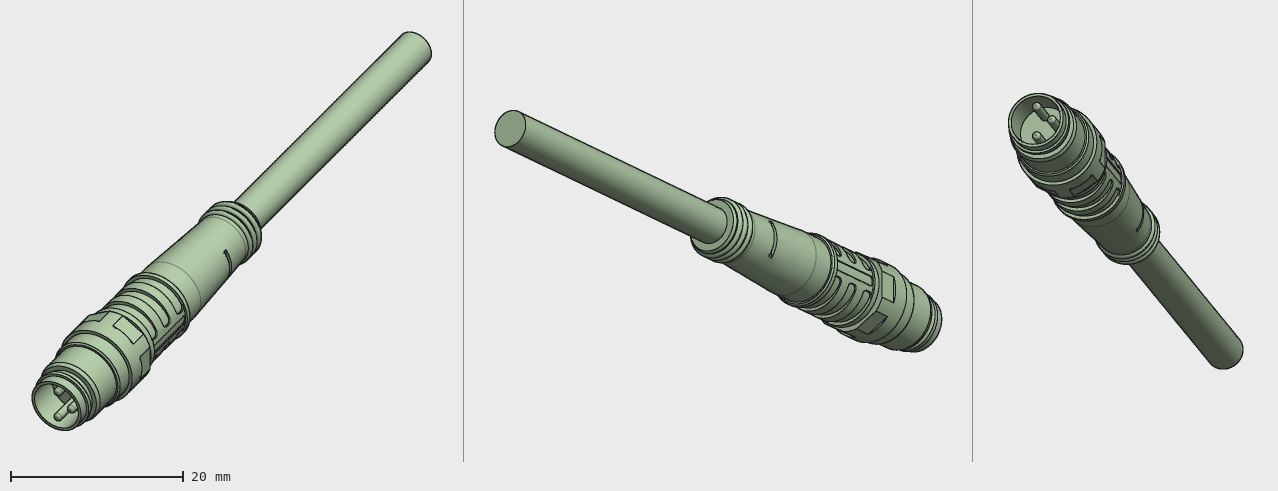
import cadquery as cq
import math


total_length = 81.4
cable_dia = 4.4

sleeve_dia = 6.6
snap_ring_dia = 7.2
snap_ring_start = 1.25
snap_ring_end = 1.75
groove_dia = 6.5
groove_start = 2.0

nut_start = 2.65
nut_nose_dia = 7.6
nut_chamfer_end = 3.2
nut_front_dia = 8.0
nut_middle_start = 6.85
nut_middle_dia = 8.8
shoulder_dia = 8.4
shoulder_chamfer_length = 0.2
nut_collar_start = 9.1
nut_collar_dia = 9.6
flats_start = 11.3
nut_end = 13.6
flat_width = 3.2
flat_count = 6

neck_dia = 6.5
grip_start = 14.05

grip_dia = 8.8
grip_end = 22.9
flank_width = 8.3
body_dia = 8.0
grip_groove_width = 1.55
grip_groove_pitch = 2.95
first_grip_groove = 14.85
grip_groove_count = 3
grip_groove_span = (grip_groove_count - 1) * grip_groove_pitch + grip_groove_width
grip_groove_half_gap = 1.3
grip_groove_corner = 0.6
side_slot_width = 1.2
side_slot_corner = 0.5

taper_start = 26.0
taper_end = 37.3
taper_end_dia = 6.7
relief_end = 41.25
relief_dia = 6.6
relief_end_dia = 6.2
bead_dia = 7.3
bead_pitch = 0.98
bead_width = 0.8
first_bead = 37.9
bead_count = 3

slit_start = 33.25
slit_width = 0.5
slit_half_height = 2.4
slit_floor_x = 2.8
slit_depth = 1.5

socket_dia = 5.9
socket_depth = 4.0
pin_dia = 1.0
pin_tip_radius = 0.4
pin_circle_radius = 1.8
pin_angles = (0, 90, 270)


def cylinder(diameter, start, end):
    """Cylinder about the Y axis between two stations."""
    plane = cq.Plane(origin=(0, start, 0), xDir=(1, 0, 0), normal=(0, 1, 0))
    return cq.Workplane(plane).circle(diameter / 2).extrude(end - start)


def make_shell():
    """Turned profile of the whole connector and cable."""
    beads_end = first_bead + bead_count * bead_pitch
    steps = [
        (0, sleeve_dia),
        (snap_ring_start, sleeve_dia),
        (snap_ring_start, snap_ring_dia),
        (snap_ring_end, snap_ring_dia),
        (groove_start, groove_dia),
        (nut_start, groove_dia),
        (nut_start, nut_nose_dia),
        (nut_chamfer_end, nut_front_dia),
        (nut_middle_start, nut_front_dia),
        (nut_middle_start, shoulder_dia),
        (nut_middle_start + shoulder_chamfer_length, nut_middle_dia),
        (nut_collar_start, nut_middle_dia),
        (nut_collar_start, nut_collar_dia),
        (nut_end, nut_collar_dia),
        (nut_end, neck_dia),
        (grip_start, neck_dia),
        (grip_start, grip_dia),
        (grip_end, grip_dia),
        (grip_end + shoulder_chamfer_length, shoulder_dia),
        (grip_end + shoulder_chamfer_length, body_dia),
        (taper_start, body_dia),
        (taper_end, taper_end_dia),
        (beads_end, relief_dia),
        (relief_end, relief_end_dia),
        (relief_end, cable_dia),
        (total_length, cable_dia),
    ]
    outline = [(diameter / 2, y) for y, diameter in steps]
    profile = cq.Workplane("XY").polyline([(0, 0)] + outline + [(0, total_length)]).close()
    return profile.revolve(360, (0, 0, 0), (0, 1, 0))


def add_relief_beads(body):
    """Rounded beads around the cable end of the overmould."""
    root = relief_dia / 2
    for index in range(bead_count):
        start = first_bead + index * bead_pitch
        end = start + bead_width
        bead = (
            cq.Workplane("XY")
            .moveTo(cable_dia / 2, start)
            .lineTo(root, start)
            .threePointArc((bead_dia / 2, (start + end) / 2), (root, end))
            .lineTo(cable_dia / 2, end)
            .close()
            .revolve(360, (0, 0, 0), (0, 1, 0))
        )
        body = body.union(bead)
    return body


def cut_nut_flats(body):
    """Flats spaced evenly around the rear half of the nut collar."""
    nut_radius = nut_collar_dia / 2
    apothem = math.sqrt(nut_radius**2 - (flat_width / 2) ** 2)
    cutter = (
        cq.Workplane("XY")
        .box(nut_radius, nut_end - flats_start, nut_collar_dia, centered=(False, False, True))
        .translate((apothem, flats_start, 0))
    )
    for index in range(flat_count):
        body = body.cut(cutter.rotate((0, 0, 0), (0, 1, 0), index * 360 / flat_count))
    return body


def flank_block(start, length, bottom, height, corner):
    """Block through the part along X with its X-parallel edges rounded."""
    block = cq.Workplane("XY").box(nut_collar_dia, length, height, centered=(True, False, False))
    return block.edges("|X").fillet(corner).translate((0, start, bottom))


def slim_grip(body):
    """Narrow the grip between its end rings to an ellipse, keeping the full height."""
    end = first_grip_groove + grip_groove_span
    plane = cq.Plane(origin=(0, first_grip_groove, 0), xDir=(1, 0, 0), normal=(0, 1, 0))
    core = cq.Workplane(plane).ellipse(flank_width / 2, grip_dia / 2).extrude(grip_groove_span)
    return body.cut(cylinder(nut_collar_dia, first_grip_groove, end).cut(core))


def cut_grip(body):
    """U-ended grooves over the top and bottom, and one long slot on each flank."""
    pattern = flank_block(
        first_grip_groove, grip_groove_span, -side_slot_width / 2, side_slot_width, side_slot_corner
    )
    for index in range(grip_groove_count):
        start = first_grip_groove + index * grip_groove_pitch
        for bottom in (grip_groove_half_gap, -grip_groove_half_gap - nut_collar_dia):
            pattern = pattern.union(
                flank_block(start, grip_groove_width, bottom, nut_collar_dia, grip_groove_corner)
            )
    return body.cut(pattern.cut(cylinder(body_dia, grip_start, grip_end)))


def cut_slits(body):
    """Narrow flat-floored slit across each flank of the taper."""
    slit = cq.Workplane("XY").box(
        slit_depth, slit_width, 2 * slit_half_height, centered=(True, False, True)
    )
    for side in (-1, 1):
        body = body.cut(slit.translate((side * (slit_floor_x + slit_depth / 2), slit_start, 0)))
    return body


def make_contacts(body):
    """Blind socket with round-tipped pins standing on its floor."""
    body = body.cut(cylinder(socket_dia, 0, socket_depth))
    pin = cylinder(pin_dia, 0, socket_depth).faces("<Y").edges().fillet(pin_tip_radius)
    pin = pin.translate((pin_circle_radius, 0, 0))
    for angle in pin_angles:
        body = body.union(pin.rotate((0, 0, 0), (0, 1, 0), angle))
    return body


result = make_shell()
result = add_relief_beads(result)
result = cut_nut_flats(result)
result = slim_grip(result)
result = cut_grip(result)
result = cut_slits(result)
result = make_contacts(result)